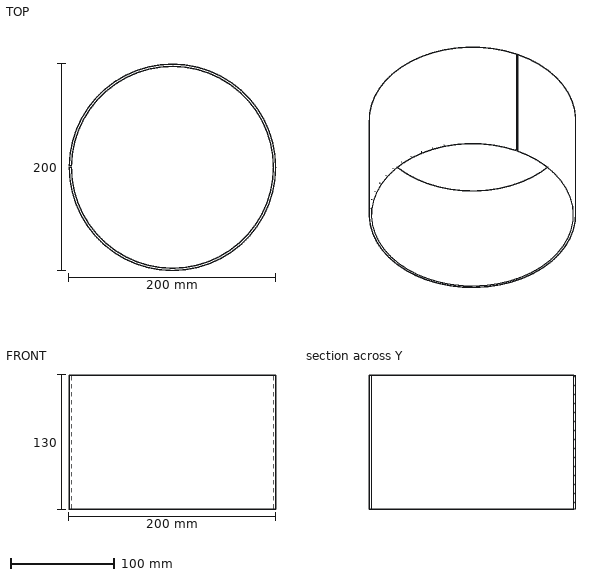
import cadquery as cq

outer_diameter = 200.0
wall = 2.5
height = 130.0
slit_width = 1.5
rim_fillet = 0.5

outer_radius = outer_diameter / 2
inner_radius = outer_radius - wall

drum = cq.Workplane("XY").circle(outer_radius).extrude(height).edges("%CIRCLE").fillet(rim_fillet)
bore = cq.Workplane("XY").circle(inner_radius).extrude(height)
sleeve = drum.cut(bore)

slit = cq.Workplane("XY").box(outer_diameter, slit_width, height, centered=(True, False, False))
slit = slit.translate((-outer_radius, 0, 0))

result = sleeve.cut(slit)